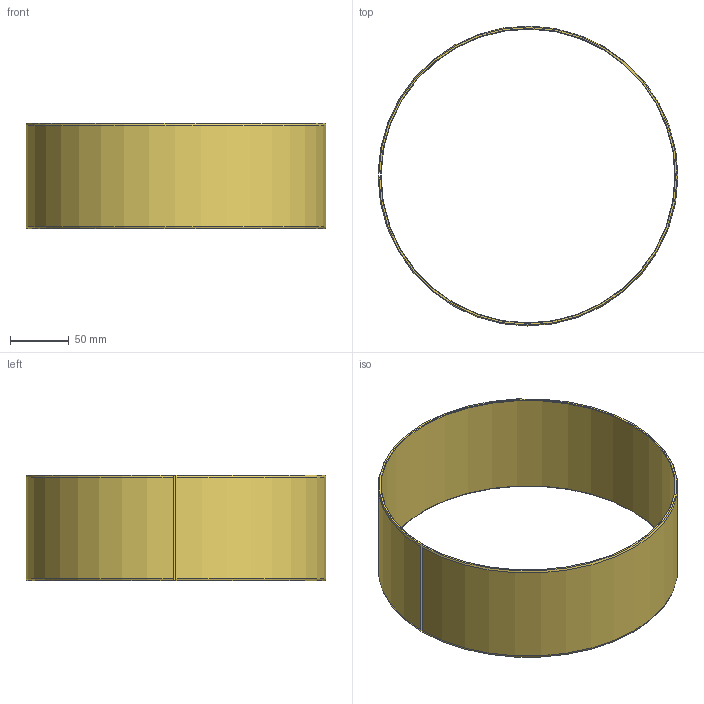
import cadquery as cq

outer_diameter = 255.0
height = 90.0
wall_thickness = 2.5
slit_angle = 1.0
outer_bevel_depth = 0.65
outer_bevel_height = 1.75
inner_bevel_depth = 0.35
inner_bevel_height = 0.6

outer_radius = outer_diameter / 2
inner_radius = outer_radius - wall_thickness
rim_outer_radius = outer_radius - outer_bevel_depth
rim_inner_radius = inner_radius + inner_bevel_depth


def make_band():
    """Revolve the bevelled wall section about Z, leaving an open slit at -X.

    One end face lies in the XZ plane and the slit opens from it towards +Y.
    """
    section = [
        (-rim_inner_radius, 0),
        (-rim_outer_radius, 0),
        (-outer_radius, outer_bevel_height),
        (-outer_radius, height - outer_bevel_height),
        (-rim_outer_radius, height),
        (-rim_inner_radius, height),
        (-inner_radius, height - inner_bevel_height),
        (-inner_radius, inner_bevel_height),
    ]
    sweep_angle = 360 - slit_angle
    return cq.Workplane("XZ").polyline(section).close().revolve(sweep_angle, (0, 0, 0), (0, 1, 0))


result = make_band()